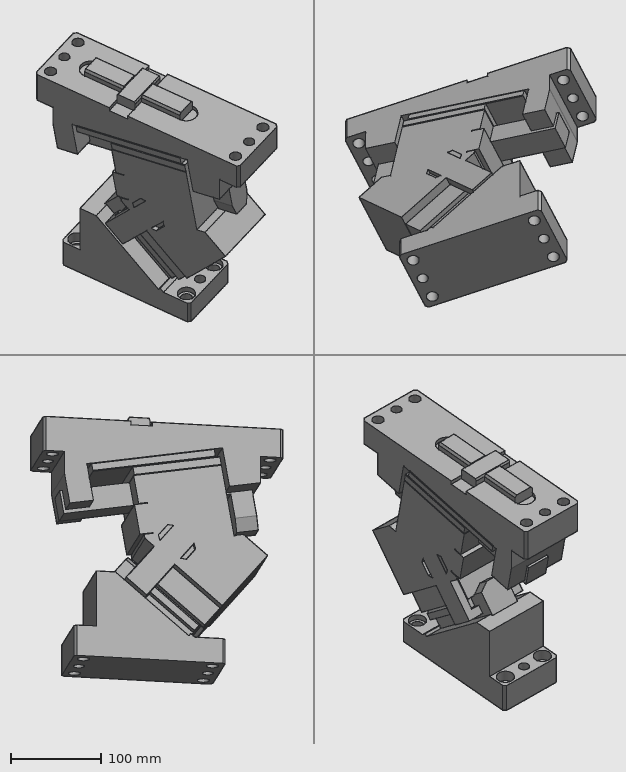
import cadquery as cq
import math

WIDTH = 80.0
HALF = WIDTH / 2
CORNER = 3.0
SLIDE_CHAMFER = 0.9
SCREW_Y = 27.5
SCREW_EDGE = 12.5
SCREW_DIA = 13.3
DOWEL_DIA = 12.2

SLIDE_ANGLE = 10
RAMP_ANGLE = -40


def tilted(angle, along, up):
    """X, Z of a point given in a frame turned by `angle` degrees about the Y axis."""
    c = math.cos(math.radians(angle))
    s = math.sin(math.radians(angle))
    return along * c - up * s, along * s + up * c


def slide(u, v):
    return tilted(SLIDE_ANGLE, u, v)


def ramp(p, q):
    return tilted(RAMP_ANGLE, p, q)


TURN = math.radians(SLIDE_ANGLE - RAMP_ANGLE)


def ramp_at_u(u, q):
    """X, Z of the point on ramp height q that also has slide position u."""
    return ramp((u - q * math.sin(TURN)) / math.cos(TURN), q)


def ramp_at_v(v, q):
    """X, Z of the point on ramp height q that also has slide height v."""
    return ramp((q * math.cos(TURN) - v) / math.sin(TURN), q)


def z_at_u(x, u):
    """Z of the point at x that has slide position u."""
    angle = math.radians(SLIDE_ANGLE)
    return (u - x * math.cos(angle)) / math.sin(angle)


def z_at_v(x, v):
    """Z of the point at x that has slide height v."""
    angle = math.radians(SLIDE_ANGLE)
    return (v + x * math.sin(angle)) / math.cos(angle)


def prism(points, y_min=-HALF, y_max=HALF):
    """Outline in X, Z swept from y_min to y_max."""
    sketch = cq.Workplane("XZ", origin=(0, y_min, 0)).polyline(points).close()
    return sketch.extrude(y_min - y_max)


def block(frame, along, up, y_min=-HALF, y_max=HALF):
    """Rectangular block lying in the slide or ramp frame; `along` and `up` are (low, high) pairs."""
    corners = [(along[0], up[0]), (along[1], up[0]), (along[1], up[1]), (along[0], up[1])]
    return prism([frame(a, b) for a, b in corners], y_min, y_max)


def ramp_section(points, p_start, p_end):
    """Outline in Y, q swept along the ramp from p_start to p_end."""
    x, z = ramp(p_start, 0)
    along_x, along_z = ramp(1, 0)
    plane = cq.Plane(origin=(x, 0, z), xDir=(0, 1, 0), normal=(along_x, 0, along_z))
    return cq.Workplane(plane).polyline(points).close().extrude(p_end - p_start)


def mirrored(points):
    """Outline completed by its mirror image across Y = 0."""
    return points + [(-y, q) for y, q in reversed(points)]


def slide_section(points, u_start, u_end):
    """Outline in Y, v swept along the slide from u_start to u_end."""
    x, z = slide(u_start, 0)
    along_x, along_z = slide(1, 0)
    plane = cq.Plane(origin=(x, 0, z), xDir=(0, 1, 0), normal=(along_x, 0, along_z))
    return cq.Workplane(plane).polyline(points).close().extrude(u_end - u_start)


def slide_plate(u_start, u_end, v_bottom, v_top):
    """Full-width plate along the slide, with its long edges chamfered."""
    outline = [
        (HALF - SLIDE_CHAMFER, v_bottom),
        (HALF, v_bottom + SLIDE_CHAMFER),
        (HALF, v_top - SLIDE_CHAMFER),
        (HALF - SLIDE_CHAMFER, v_top),
    ]
    return slide_section(mirrored(outline), u_start, u_end)


BASE_LEFT = 35.0
BASE_RIGHT = 205.0
BASE_LEFT_TOP = 35.2
BASE_RIGHT_TOP = 28.7
BASE_WALL = 59.5
BASE_TOP = 99.0
RAMP_Q = 128.0
RAMP_STOP = 3.5
COUNTERBORE_DIA = 20.0
COUNTERBORE_FLOOR = 22.0

RAIL_START = -3.7
RAIL_END = 106.2
RAIL_TOP = 162.7
RAIL_ROOT = 125.0
RAIL_TOP_HALF = 6.2
RAIL_SHOULDER = 154.8
RAIL_HALF = 18.7
WING_START = 21.3
WING_TOP = 150.0
WING_BOTTOM = 142.0
RAIL_FLARE = (RAIL_HALF - RAIL_TOP_HALF) / (RAIL_TOP - RAIL_SHOULDER)
WING_HALF = RAIL_TOP_HALF + RAIL_FLARE * (RAIL_TOP - WING_TOP)

RAIL_OUTLINE = mirrored([
    (RAIL_HALF, RAIL_ROOT),
    (RAIL_HALF, RAIL_SHOULDER),
    (RAIL_TOP_HALF, RAIL_TOP),
])
WINGED_OUTLINE = mirrored([
    (RAIL_HALF, RAIL_ROOT),
    (RAIL_HALF, WING_BOTTOM),
    (WING_HALF, WING_BOTTOM),
    (WING_HALF, WING_TOP),
    (RAIL_TOP_HALF, RAIL_TOP),
])


def make_base():
    stop_q = RAMP_Q + RAMP_STOP
    slope = math.radians(-RAMP_ANGLE)
    ramp_foot_p = (stop_q * math.cos(slope) - BASE_RIGHT_TOP) / math.sin(slope)
    ramp_head_p = (RAMP_Q * math.cos(slope) - BASE_TOP) / math.sin(slope)
    base = prism([
        (BASE_LEFT, 0),
        (BASE_RIGHT, 0),
        (BASE_RIGHT, BASE_RIGHT_TOP),
        ramp(ramp_foot_p, stop_q),
        ramp(RAIL_END, stop_q),
        ramp(RAIL_END, RAMP_Q),
        ramp(ramp_head_p, RAMP_Q),
        (BASE_WALL, BASE_TOP),
        (BASE_WALL, BASE_LEFT_TOP),
        (BASE_LEFT, BASE_LEFT_TOP),
    ])
    base = base.edges("|Z and (<X or >X)").chamfer(CORNER)

    base = base.union(ramp_section(RAIL_OUTLINE, RAIL_START, RAIL_END))
    base = base.union(ramp_section(WINGED_OUTLINE, WING_START, RAIL_END))

    for x in (BASE_LEFT + SCREW_EDGE, BASE_RIGHT - SCREW_EDGE):
        dowel = cq.Workplane().center(x, 0).circle(DOWEL_DIA / 2).extrude(BASE_LEFT_TOP)
        base = base.cut(dowel)
        for y in (-SCREW_Y, SCREW_Y):
            shank = cq.Workplane().center(x, y).circle(SCREW_DIA / 2).extrude(BASE_LEFT_TOP)
            head = cq.Workplane(origin=(x, y, COUNTERBORE_FLOOR)).circle(COUNTERBORE_DIA / 2)
            base = base.cut(shank).cut(head.extrude(BASE_LEFT_TOP - COUNTERBORE_FLOOR))
    return base


BODY_LEFT_U = 137.0
BODY_RIGHT_U = 237.0
FLANGE_LEFT_U = 137.7
BODY_TOP_V = 191.0
BODY_SHELF_V = 109.0
FLANGE_TOP_V = 201.4

PAD_LEFT_U = 132.0
PAD_BOTTOM_V = 123.3
PAD_TOP_V = 157.5
SLIT_END_U = 147.0
SLIT = 0.9

SOLE_Q = 180.5
HEAD_Q = 260.1
BODY_END_P = 111.3
SADDLE_Q = 153.6
SADDLE_HALF = 29.3
SADDLE_END_P = 110.8
ARM = (11.0, 41.5)
ARM_INNER = 30.5
ARM_BOTTOM_Q = 131.8
FOOT_INNER = 20.0

BAR_LEFT_U = 57.0
BAR_RIGHT_U = 272.5
BAR_BOTTOM_V = 164.0
BAR_TOP_V = 190.5
BAR_HALF = 14.8
FINGER_LEFT_U = 248.0
FINGER_BOTTOM_V = 120.5
FINGER_TAPER_V = 135.8
FINGER_TIP_HALF = 10.0

POCKET_P = 26.7
POCKET_Q = 202.2
POCKET_NEAR = 15.0
POCKET_FAR = 20.5
POCKET_NEAR_HALF = 12.0
POCKET_FAR_HALF = 8.2
POCKET_DEPTHS = {-1: 0.3, 1: 5.7}


def make_bar():
    """Cross bar through both legs of the holder, ending in a tapered finger."""
    bar = block(slide, (BAR_LEFT_U, BAR_RIGHT_U), (BAR_BOTTOM_V, BAR_TOP_V), -BAR_HALF, BAR_HALF)
    finger_outline = [
        (BAR_HALF, BAR_TOP_V),
        (BAR_HALF, FINGER_TAPER_V),
        (FINGER_TIP_HALF, FINGER_BOTTOM_V),
    ]
    return bar.union(slide_section(mirrored(finger_outline), FINGER_LEFT_U, BAR_RIGHT_U))


def side_pocket(side):
    """Shallow pocket in the -Y and +Y faces, on one side of the pocket midpoint."""
    outline = [
        (POCKET_NEAR, -POCKET_NEAR_HALF),
        (POCKET_FAR, -POCKET_FAR_HALF),
        (POCKET_FAR, POCKET_FAR_HALF),
        (POCKET_NEAR, POCKET_NEAR_HALF),
    ]
    points = [ramp(POCKET_P + side * a, POCKET_Q + b) for a, b in outline]
    floor_y = HALF - POCKET_DEPTHS[side]
    return prism(points, -HALF, -floor_y).union(prism(points, floor_y, HALF))


def make_slider():
    slider = prism([
        slide(BODY_RIGHT_U, BODY_TOP_V),
        slide(BODY_RIGHT_U, BODY_SHELF_V),
        ramp_at_v(BODY_SHELF_V, HEAD_Q),
        ramp(BODY_END_P, HEAD_Q),
        ramp(BODY_END_P, SOLE_Q),
        ramp_at_u(BODY_LEFT_U, SOLE_Q),
        slide(BODY_LEFT_U, PAD_BOTTOM_V),
        slide(PAD_LEFT_U, PAD_BOTTOM_V),
        slide(PAD_LEFT_U, PAD_TOP_V),
        slide(BODY_LEFT_U, PAD_TOP_V),
        slide(BODY_LEFT_U, BODY_TOP_V),
    ])
    for v in (PAD_BOTTOM_V - SLIT, PAD_TOP_V):
        slider = slider.cut(block(slide, (BODY_LEFT_U, SLIT_END_U), (v, v + SLIT)))

    slider = slider.union(slide_plate(FLANGE_LEFT_U, BODY_RIGHT_U, BODY_TOP_V, FLANGE_TOP_V))

    saddle = block(ramp, (ARM[0], SADDLE_END_P), (SADDLE_Q, SOLE_Q), -SADDLE_HALF, SADDLE_HALF)
    saddle = saddle.cut(ramp_section(WINGED_OUTLINE, RAIL_START, BODY_END_P))
    slider = slider.union(saddle)

    for side in (-1, 1):
        y_arm = sorted((side * ARM_INNER, side * HALF))
        y_foot = sorted((side * FOOT_INNER, side * HALF))
        slider = slider.union(block(ramp, ARM, (ARM_BOTTOM_Q, SOLE_Q), *y_arm))
        slider = slider.union(block(ramp, ARM, (ARM_BOTTOM_Q, WING_BOTTOM), *y_foot))
        slider = slider.cut(side_pocket(side))
    return slider.union(make_bar())


PLATE_LENGTH = 270.0
PLATE_TOP = 275.0
PLATE_LEFT_BOTTOM = 235.5
PLATE_RIGHT_BOTTOM = 242.0
HOLDER_LEFT = 23.9
HOLDER_RIGHT = 244.5
LEFT_LEG_U = (60.0, 87.0)
LEFT_LEG_V = 168.0
RIGHT_LEG_U = 242.0
RIGHT_LEG_V = 165.9
ROOF_V = 210.7
STRIP_U = (92.3, 232.3)

KEY_TOP = 284.0
KEYWAY_DEPTH = 4.5
KEY_CHAMFER_HEIGHT = 2.8
LONG_KEY_X = (47.7, 174.0)
LONG_KEY_HALF = 12.8
LONG_KEY_CHAMFER = 2.3
CROSS_KEY_X = 110.8
CROSS_KEY_HALF_X = 12.2
CROSS_KEY_HALF_Y = 25.0
CROSS_KEY_CHAMFER = 1.0


def key_outline(half, chamfer):
    """End profile of a key, standing on the keyway floor, with chamfered top edges."""
    return mirrored([
        (half, PLATE_TOP - KEYWAY_DEPTH),
        (half, KEY_TOP - KEY_CHAMFER_HEIGHT),
        (half - chamfer, KEY_TOP),
    ])


def make_holder():
    holder = prism([
        (0, PLATE_LEFT_BOTTOM),
        (HOLDER_LEFT, PLATE_LEFT_BOTTOM),
        (HOLDER_LEFT, z_at_u(HOLDER_LEFT, LEFT_LEG_U[0])),
        slide(LEFT_LEG_U[0], LEFT_LEG_V),
        slide(LEFT_LEG_U[1], LEFT_LEG_V),
        slide(LEFT_LEG_U[1], ROOF_V),
        slide(RIGHT_LEG_U, ROOF_V),
        slide(RIGHT_LEG_U, RIGHT_LEG_V),
        (HOLDER_RIGHT, z_at_v(HOLDER_RIGHT, RIGHT_LEG_V)),
        (HOLDER_RIGHT, PLATE_RIGHT_BOTTOM),
        (PLATE_LENGTH, PLATE_RIGHT_BOTTOM),
        (PLATE_LENGTH, PLATE_TOP),
        (0, PLATE_TOP),
    ])
    holder = holder.edges("|Z and (<X or >X)").chamfer(CORNER)

    holder = holder.union(slide_plate(*STRIP_U, FLANGE_TOP_V, ROOF_V))

    holder = holder.cut(make_bar())

    for x in (SCREW_EDGE, PLATE_LENGTH - SCREW_EDGE):
        for y, diameter in ((-SCREW_Y, SCREW_DIA), (0, DOWEL_DIA), (SCREW_Y, SCREW_DIA)):
            hole = cq.Workplane(origin=(x, y, PLATE_LEFT_BOTTOM)).circle(diameter / 2)
            holder = holder.cut(hole.extrude(PLATE_TOP - PLATE_LEFT_BOTTOM))
    return add_keys(holder)


def add_keys(holder):
    floor_z = PLATE_TOP - KEYWAY_DEPTH
    long_length = LONG_KEY_X[1] - LONG_KEY_X[0]
    long_middle = (LONG_KEY_X[0] + LONG_KEY_X[1]) / 2
    long_floor = cq.Workplane(origin=(long_middle, 0, floor_z))
    long_way = long_floor.slot2D(long_length + 2 * LONG_KEY_HALF, 2 * LONG_KEY_HALF)
    cross_way = cq.Workplane(origin=(CROSS_KEY_X, 0, floor_z)).rect(2 * CROSS_KEY_HALF_X, WIDTH)
    holder = holder.cut(long_way.extrude(KEYWAY_DEPTH)).cut(cross_way.extrude(KEYWAY_DEPTH))

    long_outline = key_outline(LONG_KEY_HALF, LONG_KEY_CHAMFER)
    cross_left = CROSS_KEY_X - CROSS_KEY_HALF_X
    cross_right = CROSS_KEY_X + CROSS_KEY_HALF_X
    for start, end in ((LONG_KEY_X[0], cross_left), (cross_right, LONG_KEY_X[1])):
        piece = cq.Workplane("YZ", origin=(start, 0, 0)).polyline(long_outline).close().extrude(end - start)
        holder = holder.union(piece)

    cross_end = cq.Workplane("XZ", origin=(CROSS_KEY_X, CROSS_KEY_HALF_Y, 0))
    cross_outline = key_outline(CROSS_KEY_HALF_X, CROSS_KEY_CHAMFER)
    cross_key = cross_end.polyline(cross_outline).close().extrude(2 * CROSS_KEY_HALF_Y)
    return holder.union(cross_key)


base = make_base()
slider = make_slider()
holder = make_holder()
result = cq.Compound.makeCompound([
    base.solids().val(),
    slider.solids().val(),
    holder.solids().val(),
])